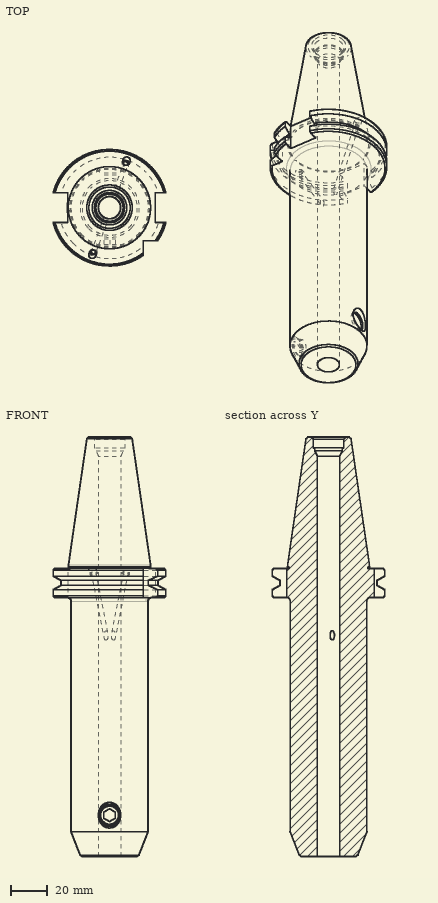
import cadquery as cq
import math


taper_length = 68.4
gauge_radius = 44.45 / 2
taper_ratio = 7 / 24
taper_end_radius = gauge_radius - taper_length * taper_ratio / 2
taper_end_chamfer = 1.0

taper_bottom = -1.2
land_radius = gauge_radius - taper_bottom * taper_ratio / 2
land_bottom = -2.4
neck_radius = 43.2 / 2
neck_step = 0.3

flange_top = -3.2
flange_bottom = -19.1
flange_radius = 63.55 / 2
flange_chamfer = 1.0
groove_z = -11.1
groove_radius = 27.7
groove_half_width = 3.7
groove_half_angle = math.radians(30)
groove_floor_half = groove_half_width - (flange_radius - groove_radius) * math.tan(groove_half_angle)

slot_width = 16.1
slot_floor_left = 22.8
slot_floor_right = 25.0
notch_x = 18.5
notch_y = -18.0

body_bottom = -160.0
body_radius = 42 / 2
body_fillet = 2.0
nose_height = 13.4
nose_radius = 31.5 / 2
nose_chamfer = 0.8

bore_radius = 12 / 2
pilot_radius = 16.4 / 2
pilot_depth = 6.0
pilot_chamfer = 1.2
step_radius = 14.8 / 2
step_depth = 7.6
cone_bottom_depth = 10.5

screw_z = body_bottom + 22.5
screw_radius = 12 / 2
screw_mouth_radius = 14 / 2
screw_face_y = -20.8
screw_chamfer = 1.1
socket_width = 6.0
socket_depth = 4.0

dimple_hole_radius = 10.2 / 2
dimple_depth = 3.0

coolant_circle_radius = 27.0
coolant_angles = (70, 250)
coolant_tilt = 30
coolant_mouth_radius = 4 / 2
coolant_mouth_depth = 3.0
coolant_hole_radius = 2.5 / 2


def make_turned_body():
    """Taper, neck, grooved flange, body and nose as one revolved profile."""
    nose_top = body_bottom + nose_height
    nose_slope = (body_radius - nose_radius) / nose_height
    rim_radius = flange_radius - flange_chamfer
    profile = (
        cq.Workplane("XZ")
        .moveTo(0, taper_length)
        .lineTo(taper_end_radius - taper_end_chamfer, taper_length)
        .lineTo(taper_end_radius + taper_end_chamfer * taper_ratio / 2, taper_length - taper_end_chamfer)
        .lineTo(land_radius, taper_bottom)
        .lineTo(land_radius, land_bottom)
        .lineTo(neck_radius, land_bottom - neck_step)
        .lineTo(neck_radius, flange_top)
        .lineTo(rim_radius, flange_top)
        .lineTo(flange_radius, flange_top - flange_chamfer)
        .lineTo(flange_radius, groove_z + groove_half_width)
        .lineTo(groove_radius, groove_z + groove_floor_half)
        .lineTo(groove_radius, groove_z - groove_floor_half)
        .lineTo(flange_radius, groove_z - groove_half_width)
        .lineTo(flange_radius, flange_bottom + flange_chamfer)
        .lineTo(rim_radius, flange_bottom)
        .lineTo(body_radius + body_fillet, flange_bottom)
        .radiusArc((body_radius, flange_bottom - body_fillet), -body_fillet)
        .lineTo(body_radius, nose_top)
        .lineTo(nose_radius + nose_chamfer * nose_slope, body_bottom + nose_chamfer)
        .lineTo(nose_radius - nose_chamfer, body_bottom)
        .lineTo(0, body_bottom)
        .close()
    )
    return profile.revolve(360, (0, 0, 0), (0, 1, 0))


def make_axial_bores():
    """Through bore with a chamfered pilot bore, a step and a cone at the taper end."""
    profile = (
        cq.Workplane("XZ")
        .moveTo(0, taper_length)
        .lineTo(pilot_radius + pilot_chamfer, taper_length)
        .lineTo(pilot_radius, taper_length - pilot_chamfer)
        .lineTo(pilot_radius, taper_length - pilot_depth)
        .lineTo(step_radius, taper_length - pilot_depth)
        .lineTo(step_radius, taper_length - step_depth)
        .lineTo(bore_radius, taper_length - cone_bottom_depth)
        .lineTo(bore_radius, body_bottom)
        .lineTo(0, body_bottom)
        .close()
    )
    return profile.revolve(360, (0, 0, 0), (0, 1, 0))


def make_flange_cutouts():
    """Two drive slots across X and the corner notch, all through the flange."""
    height = flange_top - flange_bottom

    def block(x_min, x_max, y_min, y_max):
        size = (x_max - x_min, y_max - y_min, height)
        return cq.Workplane("XY").box(*size, centered=False).translate((x_min, y_min, flange_bottom))

    half_slot = slot_width / 2
    right_slot = block(slot_floor_right, flange_radius, -half_slot, half_slot)
    left_slot = block(-flange_radius, -slot_floor_left, -half_slot, half_slot)
    notch = block(notch_x, flange_radius, -flange_radius, notch_y)
    return right_slot.union(left_slot).union(notch)


def hexagon_diameter(across_flats):
    """Diameter of the circle through the corners of a hexagon."""
    return across_flats / math.cos(math.radians(30))


def make_countersink(hole_radius):
    """Countersink on the -Y side, narrowing at 45 degrees to hole_radius."""
    overlap = 1.0
    drop = screw_mouth_radius - hole_radius
    profile = (
        cq.Workplane("XY")
        .moveTo(0, drop - body_radius)
        .lineTo(hole_radius, drop - body_radius)
        .lineTo(screw_mouth_radius + overlap, -body_radius - overlap)
        .lineTo(0, -body_radius - overlap)
        .close()
    )
    return profile.revolve(360, (0, 0, 0), (0, 1, 0)).translate((0, 0, screw_z))


def make_screw_end():
    """Chamfered end of the clamping screw, rooted inside the body wall."""
    length = -screw_face_y - (bore_radius + body_radius) / 2
    screw = cq.Workplane("XZ", origin=(0, screw_face_y, screw_z)).circle(screw_radius).extrude(-length)
    return screw.faces("<Y").chamfer(screw_chamfer)


def make_screw_socket():
    """Hex socket in the clamping screw, two of its corners along Z."""
    return (
        cq.Workplane("XZ", origin=(0, screw_face_y, screw_z))
        .transformed(rotate=(0, 0, 90))
        .polygon(6, hexagon_diameter(socket_width))
        .extrude(-socket_depth)
    )


def make_dimple():
    """Countersunk blind hole on the +Y side, opposite the screw."""
    hole = (
        cq.Workplane("XZ", origin=(0, -body_radius, screw_z))
        .circle(dimple_hole_radius)
        .extrude(-dimple_depth)
    )
    return make_countersink(dimple_hole_radius).union(hole).rotate((0, 0, 0), (0, 0, 1), 180)


def make_coolant_hole(angle):
    """Stepped hole sloping inward from the flange top to the axis."""
    overlap = 3.0
    tilt = math.radians(coolant_tilt)
    length = (coolant_circle_radius - bore_radius / 2) / math.sin(tilt)
    mouth = cq.Workplane("XY").circle(coolant_mouth_radius).extrude(coolant_mouth_depth + overlap)
    hole = cq.Workplane("XY").circle(coolant_hole_radius).extrude(length + overlap)
    return (
        mouth.union(hole)
        .translate((0, 0, -overlap))
        .rotate((0, 0, 0), (0, 1, 0), 180 + coolant_tilt)
        .translate((coolant_circle_radius, 0, flange_top))
        .rotate((0, 0, 0), (0, 0, 1), angle)
    )


result = make_turned_body()
result = result.cut(make_axial_bores())
result = result.cut(make_flange_cutouts())
result = result.cut(make_countersink(screw_radius))
result = result.union(make_screw_end())
result = result.cut(make_screw_socket())
result = result.cut(make_dimple())
for coolant_angle in coolant_angles:
    result = result.cut(make_coolant_hole(coolant_angle))